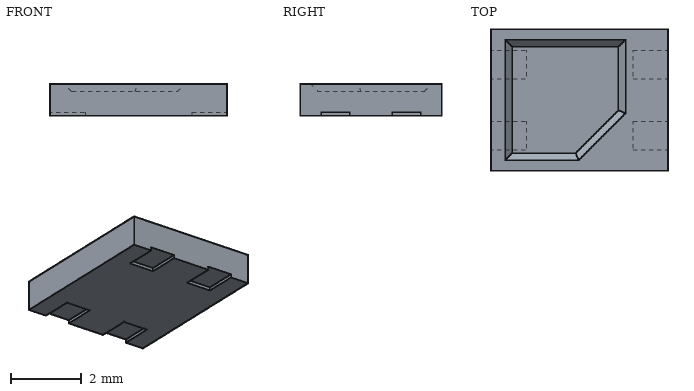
import cadquery as cq

length = 5
width = 4
height = 0.9

recess_left = 0.4
recess_size = 3.4
corner_cut = 1.325
recess_depth = 0.2
wall_angle = 45

notch_offset = 1
notch_width = 0.8
notch_height = 0.1
notch_length = 1


def recess():
    """Recess with sloping walls, narrowing evenly towards its floor."""
    right = recess_left + recess_size
    front = (width - recess_size) / 2
    back = front + recess_size
    outline = [
        (recess_left, front),
        (right - corner_cut, front),
        (right, front + corner_cut),
        (right, back),
        (recess_left, back),
    ]
    return (
        cq.Workplane("XY", origin=(0, 0, height))
        .polyline(outline)
        .close()
        .extrude(-recess_depth, taper=wall_angle)
    )


def notch(start_x, center_y):
    """Notch in the underside, starting at start_x and running towards +X."""
    return (
        cq.Workplane("XY")
        .box(notch_length, notch_width, notch_height, centered=(False, True, False))
        .translate((start_x, center_y, 0))
    )


result = cq.Workplane("XY").box(length, width, height, centered=False).cut(recess())
for start_x in (0, length - notch_length):
    for center_y in (width / 2 - notch_offset, width / 2 + notch_offset):
        result = result.cut(notch(start_x, center_y))